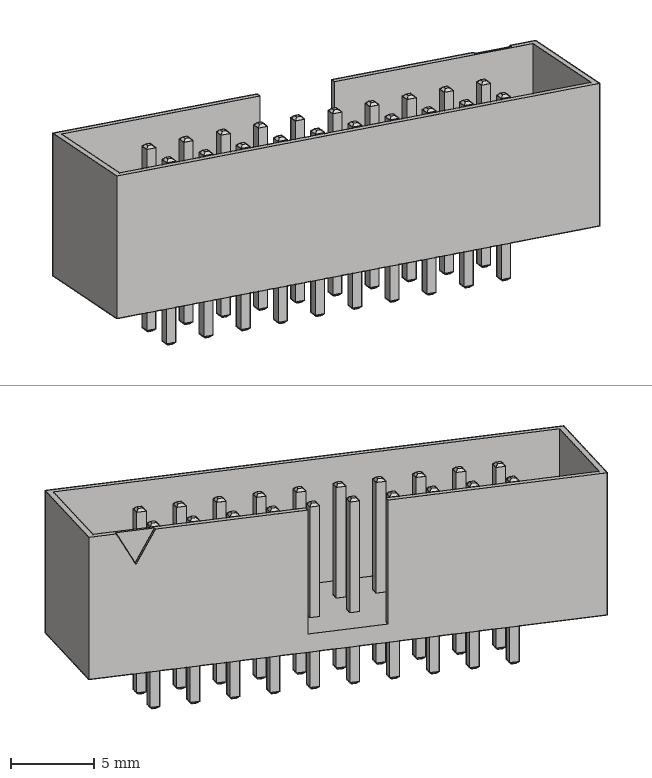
import cadquery as cq


body_width = 8.2
body_length = 33
body_height = 9.2
wall = 0.4
floor_thickness = 1.2

pitch = 2.55
rows = 2
pins_per_row = 10
pin_side = 0.63
pin_tip_chamfer = 0.15
pin_tail = 3.5
pin_top_gap = 0.7

slot_width = 2 * pitch

mark_width = 2.48
mark_height = 2.1
mark_depth = 0.2
mark_end_distance = 3.0


def make_housing():
    """Open-topped box with thin walls around a flat floor."""
    cavity_height = body_height - floor_thickness
    block = cq.Workplane("XY").box(body_width, body_length, body_height, centered=(True, True, False))
    cavity = (
        cq.Workplane("XY", origin=(0, 0, floor_thickness))
        .box(body_width - 2 * wall, body_length - 2 * wall, cavity_height, centered=(True, True, False))
    )
    return block.cut(cavity)


def make_keying_slot():
    """Cutter that opens the -X wall from the cavity floor to the rim."""
    slot_height = body_height - floor_thickness
    return (
        cq.Workplane("XY", origin=(-body_width / 2, 0, floor_thickness))
        .box(wall, slot_width, slot_height, centered=(False, True, False))
    )


def make_pin_one_mark():
    """Cutter for the shallow triangle hanging from the rim on the -X face."""
    mark_y = body_length / 2 - mark_end_distance
    return (
        cq.Workplane("YZ", origin=(-body_width / 2, mark_y, body_height))
        .polyline([(-mark_width / 2, 0), (mark_width / 2, 0), (0, -mark_height)])
        .close()
        .extrude(mark_depth)
    )


def make_pins():
    """Grid of square pins with chamfered tips at both ends."""
    pin_length = pin_tail + body_height - pin_top_gap
    return (
        cq.Workplane("XY", origin=(0, 0, -pin_tail))
        .rarray(pitch, pitch, rows, pins_per_row)
        .rect(pin_side, pin_side)
        .extrude(pin_length)
        .faces("<Z or >Z")
        .chamfer(pin_tip_chamfer)
    )


housing = make_housing().cut(make_keying_slot()).cut(make_pin_one_mark())
result = housing.union(make_pins())